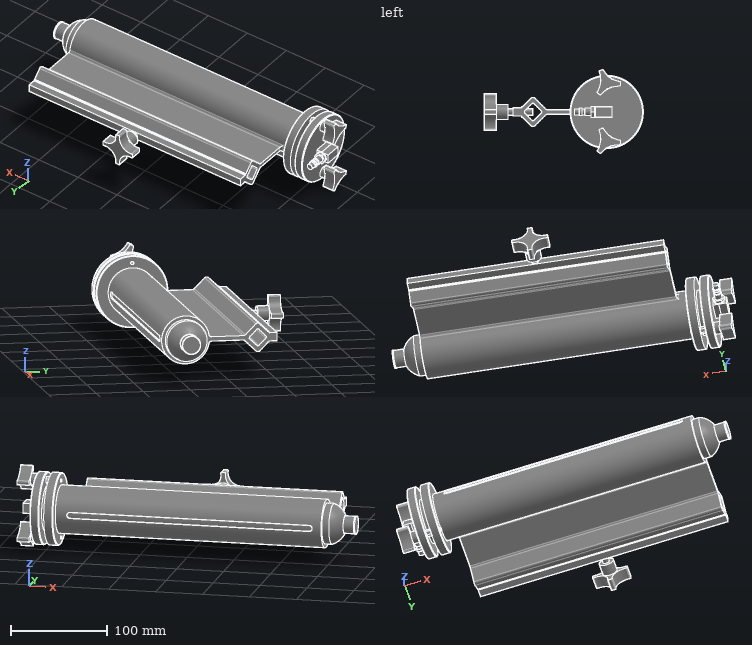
import math

import cadquery as cq

OVERALL_LENGTH = 358.65

PICK_MARGIN = 0.2

PLATE_DIAMETER = 76.2
PLATE_THICKNESS = 9.525
PLATE_CHAMFER = 0.8
FRONT_PLATE_X = 18.9
PLATE_GAP = 5.4
REAR_PLATE_X = FRONT_PLATE_X + PLATE_THICKNESS + PLATE_GAP

TUBE_DIAMETER = 50.8
LINER_DIAMETER = 47.75
TUBE_START_X = REAR_PLATE_X + PLATE_THICKNESS
TUBE_END_X = 326.4

SLOT_WIDTH = 6.41
SLOT_START_X = 55.5
SLOT_END_X = 316.8

COLLAR_DIAMETER = 42.86
COLLAR_LENGTH = 7.4
DOME_LENGTH = 12.6
DOME_SPHERE_RADIUS = 22.95
NIPPLE_DIAMETER = 18.54
LIP_DIAMETER = 19.3
LIP_LENGTH = 1.3

RAIL_START_X = 55.0
WEB_THICKNESS = 4.76
DIAMOND_Y = 76.7
DIAMOND_OUTER = 16.5
DIAMOND_INNER = 9.6
RAIL_CORNER_RADIUS = 3.05
BORE_CORNER_RADIUS = 1.5
WELD_RADIUS = 2.5
LIP_BAR_THICKNESS = 8.8
LIP_BAR_END_Y = 97.2
SHOULDER_THICKNESS = 11.2
SHOULDER_END_Y = 88.7

KNOB_TIP_ROUNDING = 1.0

RAIL_SCREW_X = 191.0
RAIL_SCREW_DIAMETER = 7.05
RAIL_HUB_DIAMETER = 15.88
RAIL_HUB_START_Y = 102.5
RAIL_KNOB_ARMS = 4
RAIL_KNOB_ANGLE = 0.0
RAIL_KNOB_THICKNESS = 12.7
RAIL_KNOB_END_Y = 127.32
RAIL_KNOB_RADIUS = 19.05
RAIL_KNOB_WAIST = 9.0
RAIL_KNOB_TIP_WIDTH = 5.8

BOLT_OFFSET_Z = 30.47
SPACER_ACROSS_FLATS = 6.41
BOLT_POINT_DIAMETER = 3.2
BOLT_POINT_LENGTH = 1.0
BOLT_HUB_DIAMETER = 12.7
BOLT_KNOB_ARMS = 3
BOLT_KNOB_THICKNESS = 12.7
BOLT_KNOB_RADIUS = 14.3
BOLT_KNOB_WAIST = 6.4
BOLT_KNOB_TIP_WIDTH = 4.7
BOLT_KNOB_ANGLE = 185.4

FITTING_X = 12.1
FITTING_WIDTH = 11.1
BLOCK_START_X = 4.4
BLOCK_STEP_X = 12.7
BLOCK_STEP_HEIGHT = 0.25
HEX_NECK_DIAMETER = 10.4
BLOCK_START_Y = -5.7
BLOCK_END_Y = 11.8
HEX_START_Y = 12.7
HEX_END_Y = 16.3
BARB_DIAMETER = 7.87
BARB_NECK_DIAMETER = 6.41
BARB_SHANK_END_Y = 23.0
BARB_END_Y = 33.7
BARB_RING_START_Y = 25.9
BARB_RING_END_Y = 29.0
BARB_CHAMFER = 0.6


def x_cylinder(diameter, start, end, z=0):
    """Cylinder parallel to the X axis."""
    return cq.Workplane("YZ", origin=(start, 0, z)).circle(diameter / 2).extrude(end - start)


def y_cylinder(diameter, x, start, end):
    """Cylinder parallel to the Y axis."""
    plane = cq.Plane(origin=(x, start, 0), xDir=(1, 0, 0), normal=(0, 1, 0))
    return cq.Workplane(plane).circle(diameter / 2).extrude(end - start)


def hex_prism(plane, across_flats, length):
    """Hexagonal prism with two corners on the local y axis of the plane."""
    return cq.Workplane(plane).polygon(6, across_flats, circumscribed=True).extrude(length)


def star_knob(plane, arms, radius, waist, tip_width, thickness, first_angle):
    """Star knob with blunt arms joined by concave arcs."""
    pitch = 2 * math.pi / arms
    half_tip = math.atan2(tip_width / 2, radius)
    corner_radius = math.hypot(radius, tip_width / 2)
    start = math.radians(first_angle)

    def polar(distance, angle):
        return (distance * math.cos(angle), distance * math.sin(angle))

    outline = cq.Workplane(plane).moveTo(*polar(corner_radius, start - half_tip))
    for arm in range(arms):
        angle = start + arm * pitch
        outline = outline.lineTo(*polar(corner_radius, angle + half_tip))
        outline = outline.threePointArc(
            polar(waist, angle + pitch / 2),
            polar(corner_radius, angle + pitch - half_tip),
        )
    star = outline.close().extrude(thickness)
    return star.edges(cq.selectors.ParallelDirSelector(plane.zDir)).fillet(KNOB_TIP_ROUNDING)


def end_plates():
    """Front plate chamfered on both faces, rear plate only on the tube side."""
    front_plate = x_cylinder(PLATE_DIAMETER, FRONT_PLATE_X, FRONT_PLATE_X + PLATE_THICKNESS)
    rear_plate = x_cylinder(PLATE_DIAMETER, REAR_PLATE_X, TUBE_START_X)
    front_plate = front_plate.faces("<X or >X").chamfer(PLATE_CHAMFER)
    rear_plate = rear_plate.faces(">X").chamfer(PLATE_CHAMFER)
    return front_plate.add(rear_plate).combine()


def tube():
    """Solid liner in a wall that is slotted down to the liner."""
    liner = x_cylinder(LINER_DIAMETER, FRONT_PLATE_X, TUBE_END_X)
    wall = x_cylinder(TUBE_DIAMETER, TUBE_START_X, TUBE_END_X)
    slot = (
        cq.Workplane("XZ")
        .center((SLOT_START_X + SLOT_END_X) / 2, 0)
        .slot2D(SLOT_END_X - SLOT_START_X, SLOT_WIDTH)
        .extrude(TUBE_DIAMETER)
    )
    return wall.cut(slot).union(liner)


def domed_end():
    """Collar, spherical dome and lipped nipple, revolved about the X axis."""
    collar_radius = COLLAR_DIAMETER / 2
    dome_x = TUBE_END_X + COLLAR_LENGTH
    nipple_x = dome_x + DOME_LENGTH
    sphere_x = dome_x - math.sqrt(DOME_SPHERE_RADIUS**2 - collar_radius**2)

    def dome_radius(x):
        return math.sqrt(DOME_SPHERE_RADIUS**2 - (x - sphere_x) ** 2)

    middle_x = dome_x + DOME_LENGTH / 2
    lip_x = OVERALL_LENGTH - LIP_LENGTH
    return (
        cq.Workplane("XY")
        .moveTo(TUBE_END_X, 0)
        .lineTo(TUBE_END_X, collar_radius)
        .lineTo(dome_x, collar_radius)
        .threePointArc((middle_x, dome_radius(middle_x)), (nipple_x, dome_radius(nipple_x)))
        .lineTo(nipple_x, NIPPLE_DIAMETER / 2)
        .lineTo(lip_x, NIPPLE_DIAMETER / 2)
        .lineTo(lip_x, LIP_DIAMETER / 2)
        .lineTo(OVERALL_LENGTH, LIP_DIAMETER / 2)
        .lineTo(OVERALL_LENGTH, 0)
        .close()
        .revolve(360, (0, 0, 0), (1, 0, 0))
    )


def rail():
    """Web, bored diamond, shoulder and lip; the corner to the web is filleted."""
    length = TUBE_END_X - RAIL_START_X

    def bar(start_y, end_y, thickness):
        section = cq.Workplane("YZ", origin=(RAIL_START_X, 0, 0)).center((start_y + end_y) / 2, 0)
        return section.rect(end_y - start_y, thickness).extrude(length)

    def diamond(half_diagonal):
        side = half_diagonal * math.sqrt(2)
        prism = cq.Workplane("YZ").rect(side, side).extrude(length)
        return prism.rotate((0, 0, 0), (1, 0, 0), 45).translate((RAIL_START_X, DIAMOND_Y, 0))

    web = bar(0, DIAMOND_Y, WEB_THICKNESS)
    lip = bar(DIAMOND_Y, LIP_BAR_END_Y, LIP_BAR_THICKNESS)
    shoulder = bar(DIAMOND_Y, SHOULDER_END_Y, SHOULDER_THICKNESS)
    bore = diamond(DIAMOND_INNER).edges("|X").fillet(BORE_CORNER_RADIUS)
    diamond_zone = cq.selectors.BoxSelector(
        (RAIL_START_X, DIAMOND_Y - DIAMOND_OUTER, -DIAMOND_OUTER - PICK_MARGIN),
        (TUBE_END_X, DIAMOND_Y + PICK_MARGIN, DIAMOND_OUTER + PICK_MARGIN),
    )
    solid = web.union(diamond(DIAMOND_OUTER))
    solid = solid.edges("|X").edges(diamond_zone).fillet(RAIL_CORNER_RADIUS)
    solid = solid.union(shoulder).union(lip)
    return solid.cut(bore)


def tube_with_rail():
    """Tube joined to the rail, with a weld fillet around the foot of the web."""
    body = tube().union(rail())
    tube_radius = TUBE_DIAMETER / 2
    half_web = WEB_THICKNESS / 2
    foot_y = math.sqrt(tube_radius**2 - half_web**2)
    foot_zone = cq.selectors.BoxSelector(
        (RAIL_START_X - PICK_MARGIN, foot_y - PICK_MARGIN, -half_web - PICK_MARGIN),
        (TUBE_END_X - PICK_MARGIN, tube_radius + PICK_MARGIN, half_web + PICK_MARGIN),
    )
    return body.edges(foot_zone).fillet(WELD_RADIUS)


def rail_screw():
    """Screw ending inside the diamond bore, with its hub and knob."""
    knob_start = RAIL_KNOB_END_Y - RAIL_KNOB_THICKNESS
    plane = cq.Plane(origin=(RAIL_SCREW_X, knob_start, 0), xDir=(1, 0, 0), normal=(0, 1, 0))
    knob = star_knob(
        plane,
        RAIL_KNOB_ARMS,
        RAIL_KNOB_RADIUS,
        RAIL_KNOB_WAIST,
        RAIL_KNOB_TIP_WIDTH,
        RAIL_KNOB_THICKNESS,
        RAIL_KNOB_ANGLE,
    )
    hub = y_cylinder(RAIL_HUB_DIAMETER, RAIL_SCREW_X, RAIL_HUB_START_Y, knob_start)
    screw = y_cylinder(RAIL_SCREW_DIAMETER, RAIL_SCREW_X, DIAMOND_Y, RAIL_HUB_START_Y)
    return knob.union(hub).union(screw)


def plate_bolt(z):
    """Knob and hub on the front plate, hexagonal spacer through the plates, and bolt point behind them."""
    plane = cq.Plane(origin=(0, 0, z), xDir=(0, 1, 0), normal=(1, 0, 0))
    knob = star_knob(
        plane,
        BOLT_KNOB_ARMS,
        BOLT_KNOB_RADIUS,
        BOLT_KNOB_WAIST,
        BOLT_KNOB_TIP_WIDTH,
        BOLT_KNOB_THICKNESS,
        BOLT_KNOB_ANGLE,
    )
    hub = x_cylinder(BOLT_HUB_DIAMETER, BOLT_KNOB_THICKNESS, FRONT_PLATE_X, z)
    spacer_plane = cq.Plane(origin=(FRONT_PLATE_X, 0, z), xDir=(0, 1, 0), normal=(1, 0, 0))
    spacer = hex_prism(spacer_plane, SPACER_ACROSS_FLATS, TUBE_START_X - FRONT_PLATE_X)
    point = x_cylinder(BOLT_POINT_DIAMETER, TUBE_START_X, TUBE_START_X + BOLT_POINT_LENGTH, z)
    return knob.union(hub).union(spacer).union(point)


def hose_fitting():
    """Stepped block, hexagon and hose barb, pointing along +Y."""
    def block(start_x, end_x, height):
        body = cq.Workplane("XY").box(
            end_x - start_x, BLOCK_END_Y - BLOCK_START_Y, height, centered=(False, False, True)
        )
        return body.translate((start_x, BLOCK_START_Y, 0))

    def barb(start_y, end_y):
        return y_cylinder(BARB_DIAMETER, FITTING_X, start_y, end_y).faces(">Y").chamfer(BARB_CHAMFER)

    hex_plane = cq.Plane(origin=(FITTING_X, HEX_START_Y, 0), xDir=(0, 0, 1), normal=(0, 1, 0))
    parts = (
        block(BLOCK_STEP_X, FRONT_PLATE_X, FITTING_WIDTH),
        y_cylinder(HEX_NECK_DIAMETER, FITTING_X, BLOCK_END_Y, HEX_START_Y),
        hex_prism(hex_plane, FITTING_WIDTH, HEX_END_Y - HEX_START_Y),
        barb(HEX_END_Y, BARB_SHANK_END_Y),
        y_cylinder(BARB_NECK_DIAMETER, FITTING_X, BARB_SHANK_END_Y, BARB_END_Y),
        barb(BARB_RING_START_Y, BARB_RING_END_Y),
    )
    fitting = block(BLOCK_START_X, BLOCK_STEP_X, FITTING_WIDTH - 2 * BLOCK_STEP_HEIGHT)
    for part in parts:
        fitting = fitting.union(part)
    return fitting


result = end_plates().union(tube_with_rail()).union(domed_end()).union(rail_screw())
for bolt_z in (-BOLT_OFFSET_Z, BOLT_OFFSET_Z):
    result = result.union(plate_bolt(bolt_z))
result = result.union(hose_fitting())